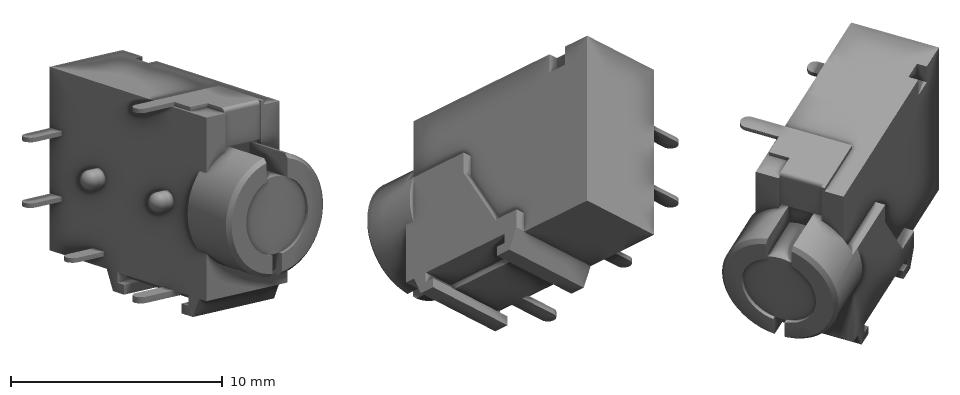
import cadquery as cq
import math


block_length = 11.5
block_depth = 4.51
block_height = 9.0

overall_length = 14.0
barrel_radius = 3.0
barrel_start = 11.0
barrel_axis_y = block_depth / 2
barrel_axis_z = 4.31
barrel_chamfer = 0.2
core_radius = 1.9
core_end = overall_length - barrel_chamfer
top_groove_width = 1.3
bottom_slot_width = 0.59

panel_thickness = 0.5
panel_left = 4.17
panel_step_height = 1.01
panel_slope_start = 5.57
panel_slope_end = 7.67
panel_slope_top = 4.42
panel_height = 5.53

notch_left = 1.47
notch_width = 1.02
notch_depth = 0.5
notch_height = 1.0

hook_middle = 7.57
hook_drop = 1.0
hook_slot_height = 0.5
hook_lip_half_gap = 2.11
hook_slot_half_width = 2.6
hook_foot_half_width = 2.93
hook_root_half_width = 3.39

peg_diameter = 1.0
peg_straight = 0.5
peg_spacing = 5.0
first_peg_x = 3.6
second_peg_x = first_peg_x + peg_spacing

leg_width = 0.8
leg_length = 2.0
pin_thickness = 0.22
end_pin_x = 0.5
pin_places = [(end_pin_x, 5.92), (end_pin_x, 2.7), (first_peg_x, 0.69)]

sheet = 0.21
plate_left = second_peg_x - leg_width / 2
plate_back = 3.37
plate_right = 11.4
plate_front = 0.13
plate_step_x = hook_middle + hook_slot_half_width
plate_step_y = 1.18
bend_start = plate_right - sheet
flap_bottom = barrel_axis_z + barrel_radius
rib_width = 0.17

lower_plate_half_width = 2.5
lower_plate_thickness = 0.31
lower_plate_gap = 0.03
lower_plate_front = 0.5


def box(x0, x1, y0, y1, z0, z1):
    """Axis-aligned box between two opposite corners."""
    return cq.Workplane("XY").box(x1 - x0, y1 - y0, z1 - z0, centered=False).translate((x0, y0, z0))


def cylinder_x(radius, x0, x1):
    """Cylinder on the barrel axis, from x0 to x1."""
    plane = cq.Workplane("YZ", origin=(x0, barrel_axis_y, barrel_axis_z))
    return plane.circle(radius).extrude(x1 - x0)


def extrude_back(points, y0, y1):
    """XZ outline extruded from y0 back to y1."""
    return cq.Workplane("XZ", origin=(0, y0, 0)).polyline(points).close().extrude(y0 - y1)


def solder_leg(x, y_root, z_bottom, thickness):
    """Flat leg pointing forwards, with a full round tip."""
    half = leg_width / 2
    tip_start = half - leg_length
    return (
        cq.Workplane("XY", origin=(x, 0, z_bottom))
        .moveTo(-half, y_root)
        .lineTo(-half, tip_start)
        .threePointArc((0, -leg_length), (half, tip_start))
        .lineTo(half, y_root)
        .close()
        .extrude(thickness)
    )


def barrel():
    """Chamfered sleeve, slotted above and below, around a slightly shorter core."""
    sleeve = cylinder_x(barrel_radius, barrel_start, overall_length).faces(">X").chamfer(barrel_chamfer)
    sleeve = sleeve.cut(cylinder_x(core_radius, barrel_start, overall_length))
    sleeve = sleeve.cut(box(
        barrel_start, overall_length,
        barrel_axis_y - top_groove_width / 2, barrel_axis_y + top_groove_width / 2,
        barrel_axis_z, barrel_axis_z + barrel_radius,
    ))
    sleeve = sleeve.cut(box(
        barrel_start, overall_length,
        barrel_axis_y - bottom_slot_width / 2, barrel_axis_y + bottom_slot_width / 2,
        barrel_axis_z - barrel_radius, barrel_axis_z,
    ))
    sleeve = sleeve.cut(box(
        barrel_start, block_length,
        block_depth, block_depth + panel_thickness,
        panel_height, barrel_axis_z + barrel_radius,
    ))
    return sleeve.union(cylinder_x(core_radius, barrel_start, core_end))


def rear_panel():
    outline = [
        (panel_left, 0),
        (panel_left, panel_step_height),
        (panel_slope_start, panel_step_height),
        (panel_slope_end, panel_slope_top),
        (panel_slope_end, panel_height),
        (block_length, panel_height),
        (block_length, 0),
    ]
    return extrude_back(outline, block_depth, block_depth + panel_thickness)


def hook(side):
    """Hook under the block; side is -1 for the left one and +1 for the right one."""
    outline = [
        (hook_root_half_width, 0),
        (hook_foot_half_width, -hook_drop),
        (hook_lip_half_gap, -hook_drop),
        (hook_lip_half_gap, -hook_slot_height),
        (hook_slot_half_width, -hook_slot_height),
        (hook_slot_half_width, 0),
    ]
    placed = [(hook_middle + side * x, z) for x, z in outline]
    return extrude_back(placed, 0, block_depth + panel_thickness)


def peg(x):
    """Round peg with a hemispherical end, pointing forwards."""
    radius = peg_diameter / 2
    diagonal = radius * math.sqrt(0.5)
    return (
        cq.Workplane("XY", origin=(x, 0, barrel_axis_z))
        .lineTo(radius, 0)
        .lineTo(radius, -peg_straight)
        .threePointArc((diagonal, -peg_straight - diagonal), (0, -peg_straight - radius))
        .close()
        .revolve(360, (0, 0, 0), (0, 1, 0))
    )


def make_housing():
    body = box(0, block_length, 0, block_depth, 0, block_height)
    body = body.cut(box(
        notch_left, notch_left + notch_width,
        block_depth - notch_depth, block_depth,
        block_height - notch_height, block_height,
    ))
    body = body.union(rear_panel())
    body = body.cut(box(
        bend_start, block_length, plate_step_y, plate_back, barrel_axis_z, block_height,
    ))
    body = body.union(barrel())
    body = body.union(box(
        plate_left, block_length, plate_back, plate_back + rib_width, block_height, block_height + sheet,
    ))
    for side in (-1, 1):
        body = body.union(hook(side))
    for x in (first_peg_x, second_peg_x):
        body = body.union(peg(x))
    for x, z in pin_places:
        body = body.union(solder_leg(x, 0, z - pin_thickness / 2, pin_thickness))
    return body


def make_top_terminal():
    top = block_height + sheet
    outline = [
        (plate_left, plate_front),
        (plate_step_x, plate_front),
        (plate_step_x, plate_step_y),
        (bend_start, plate_step_y),
        (bend_start, plate_back),
        (plate_left, plate_back),
    ]
    plate = cq.Workplane("XY", origin=(0, 0, block_height)).polyline(outline).close().extrude(sheet)
    diagonal = sheet * math.sqrt(0.5)
    flap = (
        cq.Workplane("XZ", origin=(0, plate_step_y, 0))
        .moveTo(bend_start, flap_bottom)
        .lineTo(plate_right, flap_bottom)
        .lineTo(plate_right, block_height)
        .threePointArc((bend_start + diagonal, block_height + diagonal), (bend_start, top))
        .close()
        .extrude(plate_step_y - plate_back)
    )
    leg = solder_leg(second_peg_x, plate_front, block_height, sheet)
    return plate.union(flap).union(leg)


def make_bottom_terminal():
    bottom = -lower_plate_gap - lower_plate_thickness
    plate = box(
        hook_middle - lower_plate_half_width, hook_middle + lower_plate_half_width,
        lower_plate_front, plate_back,
        bottom, -lower_plate_gap,
    )
    return plate.union(solder_leg(second_peg_x, lower_plate_front, bottom, lower_plate_thickness))


housing = make_housing()
top_terminal = make_top_terminal()
bottom_terminal = make_bottom_terminal()

result = cq.Compound.makeCompound([
    housing.solids().val(),
    top_terminal.solids().val(),
    bottom_terminal.solids().val(),
])